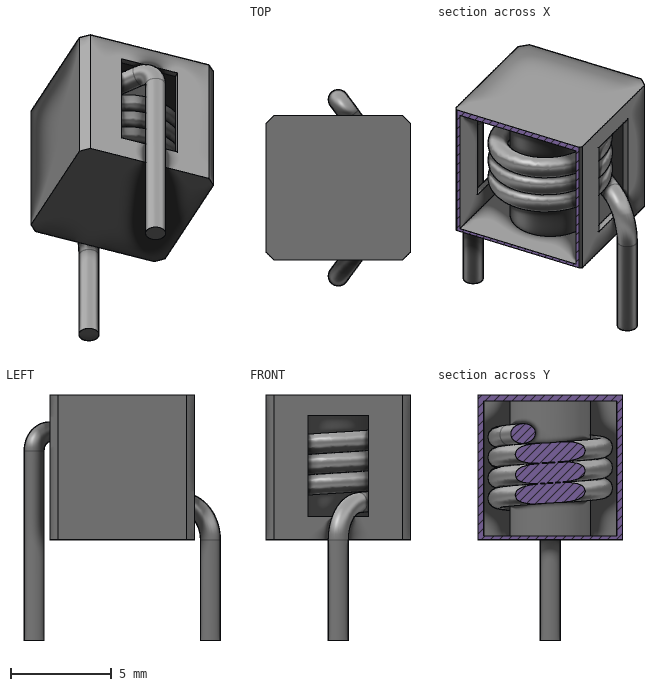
import cadquery as cq
import math

BODY_SIZE = 7.2
BODY_CHAMFER = 0.41

WALL = 0.3
FLOOR = 0.2
CORE_DIAMETER = 4.0

WINDOW_WIDTH = 3.0
WINDOW_HEIGHT = 5.0
WINDOW_BOTTOM = 1.17

WIRE_DIAMETER = 1.0
COIL_RADIUS = 2.6
COIL_PITCH = 1.01
FULL_TURNS = 3
COIL_START_Z = 1.96
LEAD_OFFSET = 4.38
LEAD_LENGTH = 5.0

FRONT_BEND_START_Z = 0.0
BACK_BEND_START_Z = 4.42

leave_angle = math.asin(COIL_RADIUS / LEAD_OFFSET)
coil_end_x = COIL_RADIUS * math.cos(leave_angle)
coil_end_y = COIL_RADIUS * math.sin(leave_angle)
coil_rise = COIL_PITCH * (FULL_TURNS + leave_angle / math.pi)
helix_slope = COIL_PITCH / (2 * math.pi * COIL_RADIUS)
tangent_run = LEAD_OFFSET * math.cos(leave_angle)

front_corner_z = COIL_START_Z - tangent_run * helix_slope
back_corner_z = COIL_START_Z + coil_rise + tangent_run * helix_slope


def make_housing():
    block = cq.Workplane("XY").box(BODY_SIZE, BODY_SIZE, BODY_SIZE, centered=(True, True, False))
    block = block.edges("|Z").chamfer(BODY_CHAMFER)

    window_base = cq.Workplane("XY").workplane(offset=WINDOW_BOTTOM)
    window = window_base.rect(WINDOW_WIDTH, BODY_SIZE).extrude(WINDOW_HEIGHT)

    hollow_side = BODY_SIZE - 2 * WALL
    hollow_height = BODY_SIZE - FLOOR - WALL
    floor = cq.Workplane("XY").workplane(offset=FLOOR)
    hollow = floor.rect(hollow_side, hollow_side).extrude(hollow_height)
    core = floor.circle(CORE_DIAMETER / 2).extrude(hollow_height)
    return block.cut(window).cut(hollow).union(core)


def make_coil():
    helix = cq.Wire.makeHelix(COIL_PITCH, coil_rise, COIL_RADIUS)
    start = cq.Plane(origin=(COIL_RADIUS, 0, 0), xDir=(1, 0, 0), normal=(0, 1, helix_slope))
    coil = cq.Workplane(start).circle(WIRE_DIAMETER / 2).sweep(cq.Workplane(helix), isFrenet=True)
    coil = coil.rotate((0, 0, 0), (0, 0, 1), -math.degrees(leave_angle))
    return coil.translate((0, 0, COIL_START_Z))


def make_lead(side, corner_z, tangent_slope, bend_start_z):
    """Lead on one side (-1 front, +1 back): a straight pin, a round bend and the run to the coil.

    The bend starts at bend_start_z and rounds the corner between the upright pin and the run.
    """
    run_x = coil_end_x / tangent_run
    run_y = side * (coil_end_y - LEAD_OFFSET) / tangent_run
    lead_plane = cq.Plane(
        origin=(0, side * LEAD_OFFSET, 0),
        xDir=(run_x, run_y, 0),
        normal=(run_y, -run_x, 0),
    )

    setback = corner_z - bend_start_z
    stretch = math.hypot(1, tangent_slope)
    bend_end = (setback / stretch, corner_z + setback * tangent_slope / stretch)
    coil_end = (tangent_run, corner_z + tangent_run * tangent_slope)
    path = (
        cq.Workplane(lead_plane)
        .moveTo(0, -LEAD_LENGTH)
        .lineTo(0, bend_start_z)
        .tangentArcPoint(bend_end, relative=False)
        .lineTo(*coil_end)
    )
    pin_tip = cq.Workplane("XY", origin=(0, side * LEAD_OFFSET, -LEAD_LENGTH))
    return pin_tip.circle(WIRE_DIAMETER / 2).sweep(path)


front_lead = make_lead(-1, front_corner_z, helix_slope, FRONT_BEND_START_Z)
back_lead = make_lead(1, back_corner_z, -helix_slope, BACK_BEND_START_Z)

result = make_housing().union(make_coil()).union(front_lead).union(back_lead)